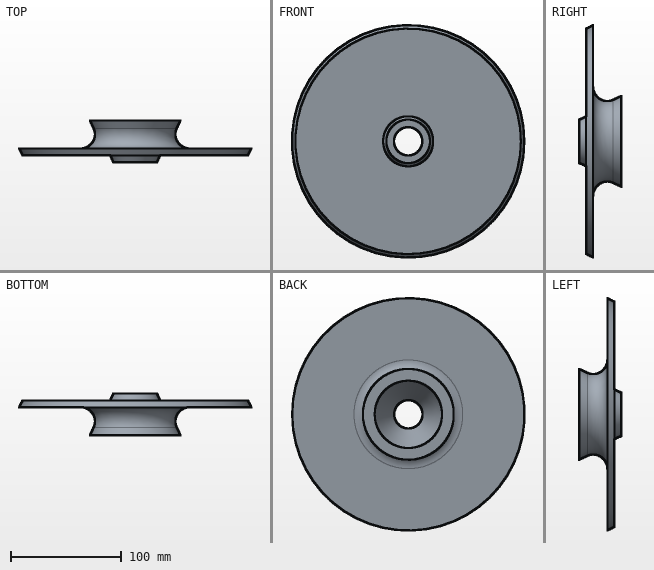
import cadquery as cq
import math

disc_radius = 105.16
disc_thickness = 6.35
rim_angle = math.radians(27)
boss_base_radius = 22.65
boss_height = 6.35
bore_mouth_radius = 12.7
throat_radius = 36.5
groove_radius = 12.7
hub_height = 2 * groove_radius
flank_angle = math.radians(25)

disc_back_y = 0
disc_front_y = disc_back_y - disc_thickness
boss_end_y = disc_front_y - boss_height
throat_y = disc_back_y + groove_radius
hub_end_y = disc_back_y + hub_height

flank_slope = math.tan(flank_angle)
boss_end_radius = boss_base_radius - boss_height * flank_slope
disc_front_radius = disc_radius - disc_thickness * math.tan(rim_angle)

groove_foot_radius = throat_radius + groove_radius
flank_start_radius = groove_foot_radius - groove_radius * math.cos(flank_angle)
flank_start_y = throat_y + groove_radius * math.sin(flank_angle)
hub_end_radius = flank_start_radius + (hub_end_y - flank_start_y) * flank_slope

bore_hub_radius = bore_mouth_radius + (hub_end_y - boss_end_y) * flank_slope


def half_section():
    """Closed outline of the wall between bore and outer surface, as (radius, Y)."""
    return (
        cq.Workplane("XY")
        .moveTo(bore_mouth_radius, boss_end_y)
        .lineTo(boss_end_radius, boss_end_y)
        .lineTo(boss_base_radius, disc_front_y)
        .lineTo(disc_front_radius, disc_front_y)
        .lineTo(disc_radius, disc_back_y)
        .lineTo(groove_foot_radius, disc_back_y)
        .threePointArc((throat_radius, throat_y), (flank_start_radius, flank_start_y))
        .lineTo(hub_end_radius, hub_end_y)
        .lineTo(bore_hub_radius, hub_end_y)
        .close()
    )


result = half_section().revolve(360, (0, 0, 0), (0, 1, 0))